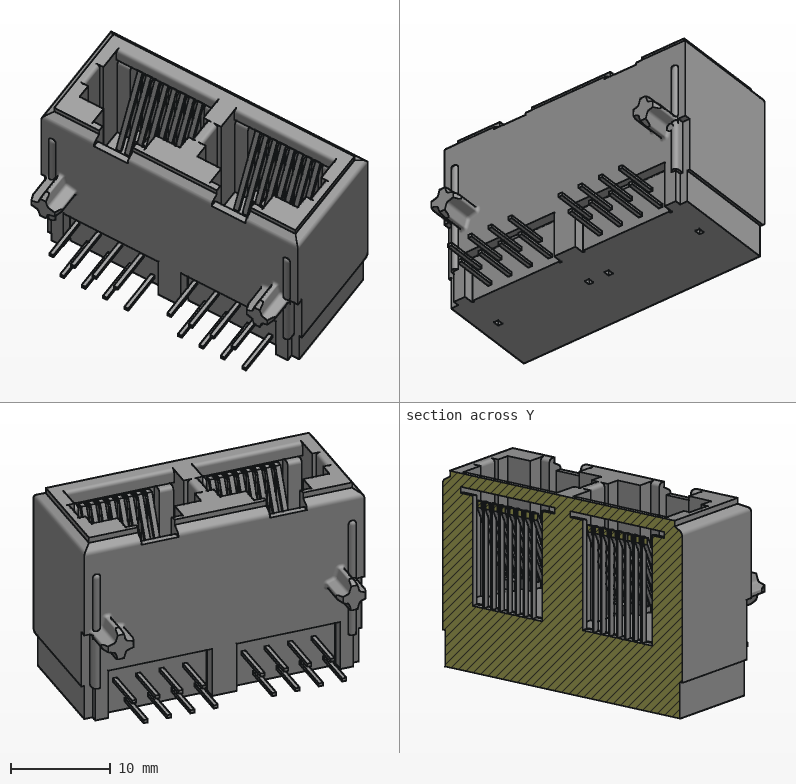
import cadquery as cq
import math


WIDTH = 30.48
DEPTH = 13.0
HEIGHT = 20.57
HALF_WIDTH = WIDTH / 2
LIP_HEIGHT = 0.6
LIP_INSET_X = 0.93
LIP_INSET_Y = 1.0
SHOULDER_INSET = 0.25
SHOULDER_Z = 19.57
SHOULDER_ARC_Z = 19.1
EDGE_RADIUS = 0.4
MOLD_SHIFT_X = -0.07

BASE_HEIGHT = 3.8
BASE_SIDE_INSET = 0.3
BASE_BACK_INSET = 0.38
BACK_CHAMFER = 0.3
NOTCH_HALF_X = 14.03
NOTCH_DEPTH = 0.72
NOTCH_HEIGHT = 10.05

ROD_X = 13.91
ROD_RADIUS = 0.43
ROD_AXIS_Y = 0.11
ROD_TOP = 16.83

PEG_X = 12.7
PEG_Z = NOTCH_HEIGHT
PEG_LENGTH = 3.54
PEG_HALF_HEIGHT = 1.72
LEFT_PEG_HALF_WIDTH = 1.73
RIGHT_PEG_HALF_WIDTH = 1.57
PEG_TIP_HALF = 0.24
PEG_TIP_RADIUS = 0.18
PEG_WAIST = 0.58
PEG_WAIST_RADIUS = 0.4
PEG_FOOT_SIZE = 4 * PEG_HALF_HEIGHT
PEG_TAPER_LENGTH = 0.9
PEG_TAPER_INSET = 0.34
COLLAR_RADIUS = 0.35

JACK_PITCH = 13.97
CAVITY_HALF_X = 5.94
CAVITY_FRONT = 3.54
CAVITY_BACK = 10.38
CAVITY_FLOOR = 7.0
KEYWAY_HALF_X = 3.1
KEYWAY_FRONT = 1.83
FLOOR_FRONT = 2.05
LATCH_HALF_X = 2.0
FRONT_WALL = 0.72
LATCH_SILL = SHOULDER_ARC_Z
LEDGE_X = 1.63
LEDGE_Y = 1.01
LEDGE_HEIGHT = 1.0

BAND_BOTTOM = 19.1
COMB_FRONT = 10.52
COMB_TOP = 18.5
COMB_BACK = 11.8
COMB_HALF_X = 4.4
COMB_TROUGH_FRONT = 10.27
COMB_TROUGH_DEPTH = 1.0
RIB_WIDTH = 0.2
RIB_DROP = 0.43

CONTACT_COUNT = 8
CONTACT_PITCH = 1.02
CONTACT_WIDTH = 0.56
CONTACT_THICKNESS = 0.3
CONTACT_TIP_Y = 7.02
CONTACT_TIP_Z = 9.5
CONTACT_BEND_Y = 11.1
CONTACT_BEND_Z = 18.1

SLOT_FRONT = 5.13
SLOT_BACK = 7.96
SLOT_OUTWARD = 0.44
SLOT_INWARD = 0.47
SLOT_SHELF = 0.84
SHELF_DEPTH = 0.5
SLOT_BOTTOM = 4.0
SPRING_FRONT = 5.93
WINDOW_FRONT = 5.2
WINDOW_OUTWARD = 0.08

OPENING_HALF_X = 5.64
OPENING_HEIGHT = 5.43
INSERT_GAP = 0.22
INSERT_TOP_GAP = 0.1
INSERT_FRONT = 1.0
INSERT_TOP = OPENING_HEIGHT - INSERT_TOP_GAP
PIN_COUNT = 8
PIN_PITCH = 1.27
PIN_WIDTH = 0.46
PIN_HEIGHT = 0.36
PIN_LENGTH = 3.94
PIN_EMBED = 0.5
LOWER_PIN_Z = 1.13
UPPER_PIN_Z = 3.67


def block(x_range, y_range, z_range):
    """Axis-aligned box between pairs of limits."""
    size = [high - low for low, high in (x_range, y_range, z_range)]
    corner = (x_range[0], y_range[0], z_range[0])
    return cq.Workplane("XY").box(*size, centered=False).translate(corner)


def shoulder_prism(plane, half_width, lip_inset, length):
    """Prism with a rounded, sloped shoulder below a narrower top lip."""
    lip = half_width - lip_inset
    return (
        cq.Workplane(plane)
        .lineTo(half_width, 0)
        .lineTo(half_width, SHOULDER_ARC_Z)
        .tangentArcPoint((half_width - SHOULDER_INSET, SHOULDER_Z), relative=False)
        .lineTo(lip, HEIGHT - LIP_HEIGHT)
        .lineTo(lip, HEIGHT)
        .lineTo(0, HEIGHT)
        .mirrorY()
        .extrude(length, both=True)
    )


def make_housing():
    across = shoulder_prism("XZ", HALF_WIDTH, LIP_INSET_X, DEPTH)
    along = shoulder_prism("YZ", DEPTH / 2, LIP_INSET_Y, WIDTH)
    housing = across.intersect(along).translate((0, DEPTH / 2, 0))
    base_back = DEPTH - BASE_BACK_INSET
    back_cut = (
        cq.Workplane("YZ")
        .moveTo(base_back, 0)
        .lineTo(base_back, BASE_HEIGHT)
        .lineTo(DEPTH - BACK_CHAMFER, BASE_HEIGHT)
        .lineTo(DEPTH, BASE_HEIGHT + BACK_CHAMFER)
        .lineTo(DEPTH, 0)
        .close()
        .extrude(WIDTH, both=True)
    )
    housing = housing.cut(back_cut)
    base_half = HALF_WIDTH - BASE_SIDE_INSET
    side_cut = block((base_half, HALF_WIDTH), (0, DEPTH), (0, BASE_HEIGHT))
    return housing.cut(side_cut).cut(side_cut.mirror("YZ"))


def front_notch():
    """Notch in the +X front corner, also clearing the peg collar outside the rod."""
    notch = block((NOTCH_HALF_X, HALF_WIDTH), (0, NOTCH_DEPTH), (0, NOTCH_HEIGHT))
    rod_side = ROD_X + ROD_RADIUS
    clearance = block((rod_side, HALF_WIDTH), (-COLLAR_RADIUS, 0), (0, NOTCH_HEIGHT))
    return notch.union(clearance)


def rod():
    """Round rod at +X with a domed top, backed by a rib inside the notch."""
    straight = ROD_TOP - ROD_RADIUS - BASE_HEIGHT
    shaft = cq.Workplane("XY").circle(ROD_RADIUS).extrude(straight)
    dome = cq.Workplane("XY").sphere(ROD_RADIUS).translate((0, 0, straight))
    pin = shaft.union(dome).translate((ROD_X, ROD_AXIS_Y, BASE_HEIGHT))
    rib = block(
        (ROD_X - ROD_RADIUS, ROD_X + ROD_RADIUS),
        (ROD_AXIS_Y, NOTCH_DEPTH),
        (BASE_HEIGHT, NOTCH_HEIGHT),
    )
    return pin.union(rib)


def star_peg(x, half_width):
    """Four-pointed peg with a tapered end and a filleted foot."""
    quarter = [(half_width, PEG_TIP_HALF), (PEG_WAIST, PEG_WAIST), (PEG_TIP_HALF, PEG_HALF_HEIGHT)]
    mirrored = [(-px, pz) for px, pz in reversed(quarter)]
    upper = quarter + mirrored
    lower = [(-px, -pz) for px, pz in upper]
    star = cq.Workplane("XZ").polyline(upper + lower).close().extrude(PEG_LENGTH)
    waist_limit = (PEG_WAIST + PEG_TIP_HALF, PEG_LENGTH, PEG_WAIST + PEG_TIP_HALF)
    waist = cq.selectors.BoxSelector([-limit for limit in waist_limit], waist_limit)
    star = star.edges(waist).edges("|Y").fillet(PEG_WAIST_RADIUS)
    tips = [star.edges(f"|Y and {end}") for end in (">X", "<X", ">Z", "<Z")]
    tip_edges = star.newObject([edge for tip in tips for edge in tip.vals()])
    star = tip_edges.fillet(PEG_TIP_RADIUS)
    taper = math.degrees(math.atan2(PEG_TAPER_INSET, PEG_TAPER_LENGTH))
    envelope = (
        cq.Workplane("XZ")
        .rect(2 * half_width, 2 * PEG_HALF_HEIGHT)
        .extrude(PEG_LENGTH - PEG_TAPER_LENGTH)
        .faces("<Y")
        .wires()
        .toPending()
        .workplane()
        .extrude(PEG_TAPER_LENGTH, taper=taper)
    )
    foot = cq.Workplane("XZ").rect(PEG_FOOT_SIZE, PEG_FOOT_SIZE).extrude(-NOTCH_DEPTH)
    peg = foot.union(star.intersect(envelope))
    junction_half = PEG_HALF_HEIGHT + COLLAR_RADIUS
    junction_limit = (junction_half, COLLAR_RADIUS / 2, junction_half)
    junction = cq.selectors.BoxSelector([-limit for limit in junction_limit], junction_limit)
    peg = peg.edges(junction).fillet(COLLAR_RADIUS)
    body_limit = block((-HALF_WIDTH, HALF_WIDTH), (-PEG_LENGTH, NOTCH_DEPTH), (0, HEIGHT))
    return peg.translate((x, 0, PEG_Z)).intersect(body_limit)


def cavity():
    """Negative of one jack opening, centred on x = 0."""
    above_floor = (CAVITY_FLOOR, HEIGHT)
    above_insert = (INSERT_TOP, HEIGHT)
    full = (-CAVITY_HALF_X, CAVITY_HALF_X)
    keyway = (-KEYWAY_HALF_X, KEYWAY_HALF_X)
    latch = (-LATCH_HALF_X, LATCH_HALF_X)
    void = block(full, (CAVITY_FRONT, CAVITY_BACK), above_floor)
    void = void.union(block(keyway, (KEYWAY_FRONT, CAVITY_FRONT), above_floor))
    void = void.union(block(keyway, (KEYWAY_FRONT, FLOOR_FRONT), above_insert))
    void = void.union(block(latch, (FRONT_WALL, KEYWAY_FRONT), above_insert))
    void = void.union(block(latch, (0, FRONT_WALL), (LATCH_SILL, HEIGHT)))
    void = void.union(rounded_edge(CAVITY_HALF_X, CAVITY_BACK, HEIGHT, 1))
    void = void.union(rounded_edge(KEYWAY_HALF_X, KEYWAY_FRONT, HEIGHT, -1))
    void = void.union(comb_void())
    for side in (-1, 1):
        ledge_x = sorted((side * CAVITY_HALF_X, side * (CAVITY_HALF_X - LEDGE_X)))
        ledge_z = (CAVITY_FLOOR, CAVITY_FLOOR + LEDGE_HEIGHT)
        void = void.cut(block(ledge_x, (CAVITY_FRONT, CAVITY_FRONT + LEDGE_Y), ledge_z))
    slot = side_slot()
    return void.union(slot).union(slot.mirror("YZ"))


def rounded_edge(half_x, wall_y, top_z, direction):
    """Sliver removed to round the top edge of a wall lying toward `direction` in Y."""
    arc_inset = EDGE_RADIUS * (1 - math.sqrt(0.5))
    return (
        cq.Workplane("YZ")
        .moveTo(wall_y, top_z)
        .lineTo(wall_y, top_z - EDGE_RADIUS)
        .threePointArc(
            (wall_y + direction * arc_inset, top_z - arc_inset),
            (wall_y + direction * EDGE_RADIUS, top_z),
        )
        .close()
        .extrude(half_x, both=True)
    )


def comb_void():
    """Space behind the upper band: end posts, a recess and ribs between contacts."""
    full = (-CAVITY_HALF_X, CAVITY_HALF_X)
    void = block(full, (CAVITY_BACK, COMB_FRONT), (CAVITY_FLOOR, BAND_BOTTOM))
    void = void.union(block(full, (COMB_FRONT, COMB_BACK), (COMB_TOP, BAND_BOTTOM)))
    void = void.union(rounded_edge(CAVITY_HALF_X, COMB_FRONT, COMB_TOP, 1))
    recess = (-COMB_HALF_X, COMB_HALF_X)
    void = void.union(block(recess, (COMB_FRONT, COMB_BACK), (CAVITY_FLOOR, BAND_BOTTOM)))
    trough_z = (CAVITY_FLOOR - COMB_TROUGH_DEPTH, CAVITY_FLOOR)
    void = void.union(block(recess, (COMB_TROUGH_FRONT, COMB_FRONT), trough_z))
    rib_top = COMB_TOP - RIB_DROP
    rib = block((-RIB_WIDTH / 2, RIB_WIDTH / 2), (COMB_FRONT, COMB_BACK), (CAVITY_FLOOR, rib_top))
    rib = rib.cut(rounded_edge(RIB_WIDTH, COMB_FRONT, rib_top, 1))
    for index in range(CONTACT_COUNT - 1):
        x = (index - (CONTACT_COUNT - 2) / 2) * CONTACT_PITCH
        void = void.cut(rib.translate((x, 0, 0)))
    return void


def side_slot():
    """Slot in the +X cavity wall with a sloped spring and a window to the underside."""
    outer = CAVITY_HALF_X + SLOT_OUTWARD
    inner = CAVITY_HALF_X - SLOT_INWARD
    shelf = CAVITY_HALF_X - SLOT_SHELF
    shelf_z = CAVITY_FLOOR - SHELF_DEPTH
    slot = (
        cq.Workplane("XZ", origin=(0, SLOT_BACK, 0))
        .moveTo(shelf, HEIGHT)
        .lineTo(shelf, shelf_z)
        .lineTo(inner, shelf_z)
        .lineTo(inner, SLOT_BOTTOM)
        .lineTo(outer, SLOT_BOTTOM)
        .lineTo(outer, HEIGHT - EDGE_RADIUS)
        .tangentArcPoint((EDGE_RADIUS, EDGE_RADIUS))
        .close()
        .extrude(SLOT_BACK - SLOT_FRONT)
    )
    spring = (
        cq.Workplane("XZ", origin=(0, SLOT_BACK, 0))
        .moveTo(inner, shelf_z)
        .lineTo(inner, SLOT_BOTTOM)
        .lineTo(outer, SLOT_BOTTOM)
        .close()
        .extrude(SLOT_BACK - SPRING_FRONT)
    )
    window = block(
        (inner, CAVITY_HALF_X + WINDOW_OUTWARD),
        (WINDOW_FRONT, SPRING_FRONT),
        (0, SLOT_BOTTOM),
    )
    return slot.cut(spring).union(window)


def contact():
    """Bent contact strip running from the comb down toward the cavity floor."""
    return (
        cq.Workplane("YZ")
        .moveTo(COMB_BACK, CONTACT_BEND_Z)
        .lineTo(CONTACT_BEND_Y, CONTACT_BEND_Z)
        .lineTo(CONTACT_TIP_Y, CONTACT_TIP_Z)
        .lineTo(CONTACT_TIP_Y + CONTACT_THICKNESS, CONTACT_TIP_Z)
        .lineTo(CONTACT_BEND_Y + CONTACT_THICKNESS, CONTACT_BEND_Z - CONTACT_THICKNESS)
        .lineTo(COMB_BACK, CONTACT_BEND_Z - CONTACT_THICKNESS)
        .close()
        .extrude(CONTACT_WIDTH / 2, both=True)
    )


def pin_opening():
    """Front opening filled by a set-back insert with a narrow gap around it."""
    opening_x = (-OPENING_HALF_X, OPENING_HALF_X)
    insert_half = OPENING_HALF_X - INSERT_GAP
    groove_back = INSERT_FRONT + INSERT_GAP
    opening = block(opening_x, (0, groove_back), (0, OPENING_HEIGHT))
    return opening.cut(block((-insert_half, insert_half), (INSERT_FRONT, groove_back), (0, INSERT_TOP)))


def pin(x, z):
    return block(
        (x - PIN_WIDTH / 2, x + PIN_WIDTH / 2),
        (-PIN_LENGTH, INSERT_FRONT + PIN_EMBED),
        (z - PIN_HEIGHT / 2, z + PIN_HEIGHT / 2),
    )


result = make_housing()
result = result.union(star_peg(MOLD_SHIFT_X - PEG_X, LEFT_PEG_HALF_WIDTH))
result = result.union(star_peg(MOLD_SHIFT_X + PEG_X, RIGHT_PEG_HALF_WIDTH))
result = result.cut(front_notch()).cut(front_notch().mirror("YZ"))
result = result.union(rod()).union(rod().mirror("YZ"))

for jack_x in (-JACK_PITCH / 2, JACK_PITCH / 2):
    result = result.cut(cavity().translate((jack_x, 0, 0)))
    result = result.cut(pin_opening().translate((jack_x, 0, 0)))
    for index in range(CONTACT_COUNT):
        contact_x = jack_x + (index - (CONTACT_COUNT - 1) / 2) * CONTACT_PITCH
        result = result.union(contact().translate((contact_x, 0, 0)))
    for index in range(PIN_COUNT):
        pin_x = jack_x + MOLD_SHIFT_X + (index - (PIN_COUNT - 1) / 2) * PIN_PITCH
        pin_z = UPPER_PIN_Z if index % 2 == 0 else LOWER_PIN_Z
        result = result.union(pin(pin_x, pin_z))